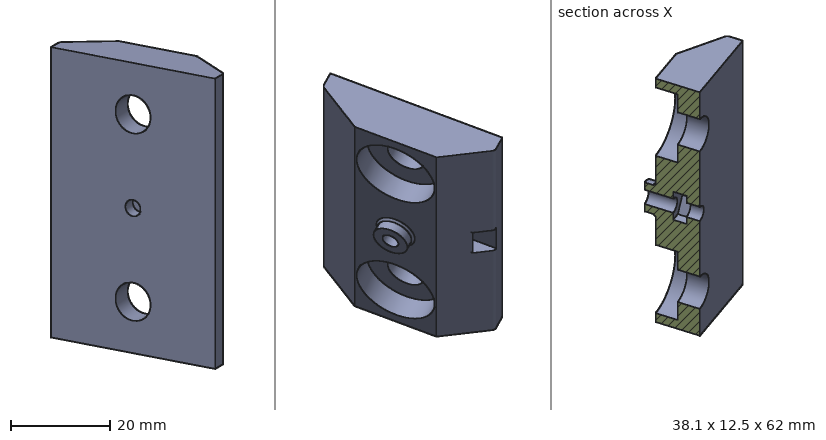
import cadquery as cq
import math

WIDTH = 38.1
LENGTH = 62.0
THICKNESS = 10.0
TOTAL_DEPTH = 12.5
BACK_FLAT_WIDTH = 18.1
SIDE_HEIGHT = 3.55
SIDE_CORNER_RADIUS = 1.0

MOUNT_SPACING = 40.0
MOUNT_DIAMETER = 8.1
COUNTERBORE_DIAMETER = 17.25
COUNTERBORE_DEPTH = 5.0

BOSS_DIAMETER = 7.5
BOSS_FLARE = 0.5
SCREW_DIAMETER = 3.5

NUT_ACROSS_FLATS = 7.0
SLOT_FLOOR = 3.0
SLOT_HEIGHT = 3.0
HALF_HEXAGON_SECTOR = math.radians(30)


def make_plate():
    """Plate with sloped flanks and rounded corners where they meet the side walls."""
    half_width = WIDTH / 2
    half_flat = BACK_FLAT_WIDTH / 2
    outline = [
        (-half_width, 0),
        (half_width, 0),
        (half_width, SIDE_HEIGHT),
        (half_flat, THICKNESS),
        (-half_flat, THICKNESS),
        (-half_width, SIDE_HEIGHT),
    ]
    plate = cq.Workplane("XY").polyline(outline).close().extrude(LENGTH / 2, both=True)
    mid_height = THICKNESS / 2
    side_corners = plate.edges("|Z").edges(
        cq.selectors.BoxSelector(
            (-WIDTH, SIDE_HEIGHT / 2, -LENGTH),
            (WIDTH, mid_height, LENGTH),
        )
    )
    return side_corners.fillet(SIDE_CORNER_RADIUS)


def make_boss():
    """Boss of revolution about the Y axis, flared at its foot."""
    radius = BOSS_DIAMETER / 2
    profile = [
        (0, 0),
        (radius + BOSS_FLARE, 0),
        (radius + BOSS_FLARE, THICKNESS),
        (radius, THICKNESS + BOSS_FLARE),
        (radius, TOTAL_DEPTH),
        (0, TOTAL_DEPTH),
    ]
    return cq.Workplane("XY").polyline(profile).close().revolve(360, (0, 0), (0, 1))


def make_cylinder(diameter, start, end):
    """Cylinder about the Y axis between two heights above the front face."""
    disc = cq.Workplane("XZ", origin=(0, start, 0)).circle(diameter / 2)
    return disc.extrude(start - end)


def make_mounting_hole(z):
    """Through hole with a counterbore opening on the back face."""
    bore = make_cylinder(MOUNT_DIAMETER, 0, THICKNESS)
    counterbore = make_cylinder(COUNTERBORE_DIAMETER, THICKNESS - COUNTERBORE_DEPTH, THICKNESS)
    return bore.union(counterbore).translate((0, 0, z))


def make_nut_slot():
    """Slot with a pointed hexagonal end seating a nut on the screw axis."""
    half_flats = NUT_ACROSS_FLATS / 2
    corner_radius = half_flats / math.cos(HALF_HEXAGON_SECTOR)
    outline = [
        (-WIDTH, -half_flats),
        (corner_radius / 2, -half_flats),
        (corner_radius, 0),
        (corner_radius / 2, half_flats),
        (-WIDTH, half_flats),
    ]
    slot = cq.Workplane("XZ").polyline(outline).close().extrude(-SLOT_HEIGHT)
    return slot.translate((0, SLOT_FLOOR, 0))


result = make_plate().union(make_boss())
for mount_z in (-MOUNT_SPACING / 2, MOUNT_SPACING / 2):
    result = result.cut(make_mounting_hole(mount_z))
result = result.cut(make_cylinder(SCREW_DIAMETER, 0, TOTAL_DEPTH)).cut(make_nut_slot())